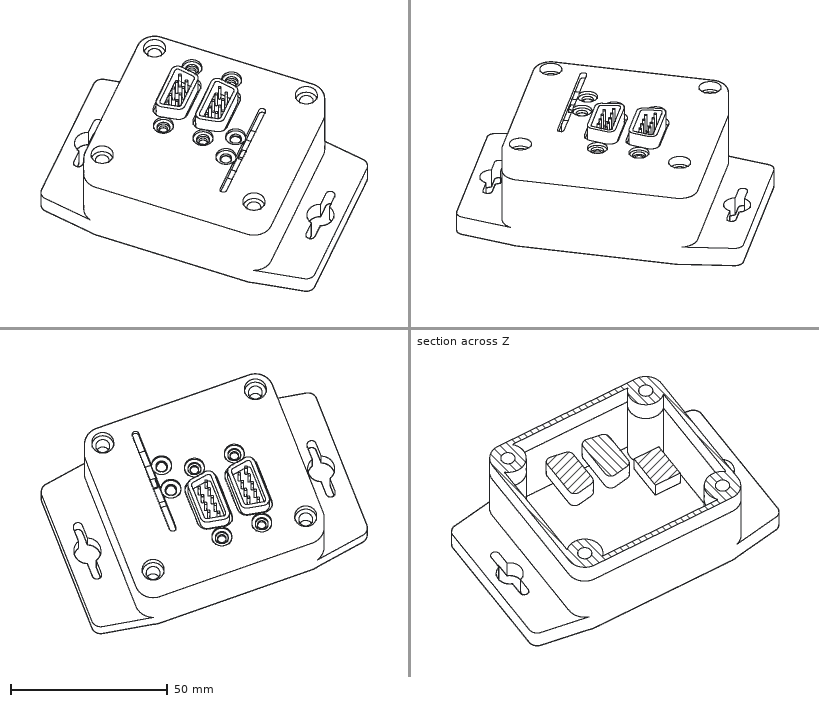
import cadquery as cq
import math

box_length = 64.0
box_width = 58.0
corner_radius = 5.9
wall = 2.0
base_height = 25.0
box_height = 35.0
top_fillet = 2.0
lid_underside = box_height - wall

post_radius = corner_radius
post_x = box_length / 2 - corner_radius
post_y = box_width / 2 - corner_radius
lid_screw_diameter = 4.4
lid_counterbore_diameter = 7.05
lid_counterbore_depth = 3.0

flange_length = 94.0
flange_height = 6.6
flange_end_width = 50.95
flange_corner_radius = 3.0
shoulder_offset = 2.0
shoulder_x = post_x + shoulder_offset
shoulder_y = post_y + math.sqrt(corner_radius**2 - shoulder_offset**2)
keyhole_x = 39.95
keyhole_diameter = 8.65
keyhole_slot_length = 20.3
keyhole_slot_width = 3.0

connector_xs = (-12.1, 1.5)
connector_y = 7.6
connector_top = 39.0
shell_width = 9.4
shell_half_length = 9.1
shell_slope = math.radians(10)
shell_corner_radius = 2.2
shell_wall = 1.2
shell_depth = 6.0
opening_gap = 0.9
plate_width = 12.0
plate_length = 30.8
plate_thickness = 1.0
plate_hole_diameter = 2.7
jack_screw_spacing = 25.1
connector_body_depth = 6.0
pin_diameter = 0.8
pin_length = 5.7
pin_pitch = 2.8
pin_row_spacing = 2.8
pin_rows = ((-1, 5), (1, 4))

recess_diameter = 6.4
recess_depth = 1.0
jack_screw_hole_diameter = 4.1

switch_y = -5.1
slot_x = 15.2
slot_length = 36.2
slot_width = 2.2
window_x = 11.1
window_spacing = 8.6
window_diameter = 3.7
switch_length = 13.0
switch_min_x = window_x - recess_diameter / 2
switch_max_x = slot_x + slot_width
switch_height = 5.0
switch_gap = 1.0
switch_top = lid_underside - switch_gap
lever_length = 3.0
lever_width = 1.6
peg_diameter = 3.4
peg_top = lid_underside

jack_screw_points = [
    (x, connector_y + side * jack_screw_spacing / 2) for x in connector_xs for side in (-1, 1)
]
window_points = [(window_x, switch_y + side * window_spacing / 2) for side in (-1, 1)]
post_points = [(sx * post_x, sy * post_y) for sx in (-1, 1) for sy in (-1, 1)]


def rounded_box(bottom, top):
    """Solid block with the plan outline of the enclosure."""
    return (
        cq.Workplane(origin=(0, 0, bottom))
        .rect(box_length, box_width)
        .extrude(top - bottom)
        .edges("|Z")
        .fillet(corner_radius)
    )


def cavity(bottom, top):
    """Hollow inside the walls, leaving round screw posts in the corners."""
    hollow = (
        cq.Workplane(origin=(0, 0, bottom))
        .rect(box_length - 2 * wall, box_width - 2 * wall)
        .extrude(top - bottom)
    )
    return hollow.cut(cylinders(post_points, 2 * post_radius, bottom, top))


def cylinders(points, diameter, bottom, top):
    """Equal upright cylinders at the given points."""
    return (
        cq.Workplane(origin=(0, 0, bottom))
        .pushPoints(points)
        .circle(diameter / 2)
        .extrude(top - bottom)
    )


def shell_block(x, offset, bottom, top):
    """D-shaped connector block, its outline grown or shrunk by offset."""
    half_width = shell_width / 2
    short_half_length = shell_half_length - shell_width * math.tan(shell_slope)
    outline = (
        cq.Sketch()
        .polygon(
            [
                (-half_width, -shell_half_length),
                (half_width, -short_half_length),
                (half_width, short_half_length),
                (-half_width, shell_half_length),
                (-half_width, -shell_half_length),
            ]
        )
        .vertices()
        .fillet(shell_corner_radius)
        .reset()
    )
    if offset:
        outline = outline.wires().offset(offset, mode="a" if offset > 0 else "i").clean()
    return (
        cq.Workplane(origin=(x, connector_y, bottom)).placeSketch(outline).extrude(top - bottom)
    )


def make_flanges():
    """Tapered mounting plate through the bottom of the base, with two keyholes."""
    end_x = flange_length / 2
    end_y = flange_end_width / 2
    plate = (
        cq.Workplane()
        .polyline(
            [
                (-end_x, -end_y),
                (-shoulder_x, -shoulder_y),
                (shoulder_x, -shoulder_y),
                (end_x, -end_y),
                (end_x, end_y),
                (shoulder_x, shoulder_y),
                (-shoulder_x, shoulder_y),
                (-end_x, end_y),
            ]
        )
        .close()
        .extrude(flange_height)
    )
    plate = plate.edges("|Z and (<X or >X)").fillet(flange_corner_radius)
    keyhole_points = [(-keyhole_x, 0), (keyhole_x, 0)]
    slots = (
        cq.Workplane()
        .pushPoints(keyhole_points)
        .slot2D(keyhole_slot_length, keyhole_slot_width, 90)
        .extrude(flange_height)
    )
    return plate.cut(slots).cut(cylinders(keyhole_points, keyhole_diameter, 0, flange_height))


def make_base():
    base = rounded_box(0, base_height).union(make_flanges())
    base = base.cut(cavity(wall, base_height))
    return base.cut(cylinders(post_points, lid_screw_diameter, 0, base_height))


def make_lid():
    lid = rounded_box(base_height, box_height).faces(">Z").edges().fillet(top_fillet)
    lid = lid.cut(cavity(base_height, lid_underside))

    counterbore_floor = box_height - lid_counterbore_depth
    lid = lid.cut(cylinders(post_points, lid_screw_diameter, base_height, box_height))
    lid = lid.cut(cylinders(post_points, lid_counterbore_diameter, counterbore_floor, box_height))

    for x in connector_xs:
        lid = lid.cut(shell_block(x, opening_gap, lid_underside, box_height))
    recess_points = jack_screw_points + window_points
    lid = lid.cut(cylinders(recess_points, recess_diameter, box_height - recess_depth, box_height))
    lid = lid.cut(cylinders(jack_screw_points, jack_screw_hole_diameter, lid_underside, box_height))
    lid = lid.cut(cylinders(window_points, window_diameter, lid_underside, box_height))

    slot = (
        cq.Workplane(origin=(slot_x, switch_y, lid_underside))
        .slot2D(slot_length, slot_width, 90)
        .extrude(wall)
    )
    return lid.cut(slot)


def make_connector(x):
    """Connector with its mounting plate against the lid and nine pins in its shell."""
    plate_bottom = lid_underside - plate_thickness
    shell_floor = connector_top - shell_depth
    plate = (
        cq.Workplane(origin=(x, connector_y, plate_bottom))
        .rect(plate_width, plate_length)
        .extrude(plate_thickness)
    )
    plate = plate.cut(cylinders(jack_screw_points, plate_hole_diameter, plate_bottom, lid_underside))
    connector = plate.union(shell_block(x, 0, plate_bottom - connector_body_depth, connector_top))
    connector = connector.cut(shell_block(x, -shell_wall, shell_floor, connector_top))
    pin_points = [
        (x + side * pin_row_spacing / 2, connector_y + (i - (count - 1) / 2) * pin_pitch)
        for side, count in pin_rows
        for i in range(count)
    ]
    return connector.union(cylinders(pin_points, pin_diameter, shell_floor, shell_floor + pin_length))


def make_switch():
    """Switch block under the lid with a lever below the slot and a peg below each window."""
    block = cq.Workplane().box(
        switch_max_x - switch_min_x, switch_length, switch_height, centered=(False, True, False)
    ).translate((switch_min_x, switch_y, switch_top - switch_height))
    lever = (
        cq.Workplane(origin=(slot_x, switch_y, switch_top))
        .rect(lever_width, lever_length)
        .extrude(switch_gap)
    )
    pegs = cylinders(window_points, peg_diameter, switch_top, peg_top)
    return block.union(lever).union(pegs)


base = make_base()
lid = make_lid()
connectors = [make_connector(x) for x in connector_xs]
switch = make_switch()

result = cq.Compound.makeCompound(
    [base.val(), lid.val(), *[connector.val() for connector in connectors], switch.val()]
)